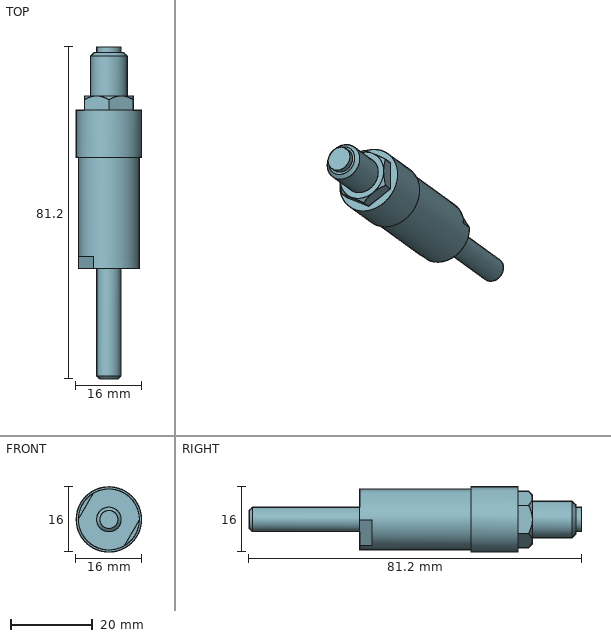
import cadquery as cq
import math


plunger_diameter = 6.0
barrel_diameter = 14.9
sleeve_diameter = 16.0
neck_diameter = 9.0
tip_diameter = 6.0

plunger_length = 27.0
collar_length = 3.0
barrel_length = 24.2
sleeve_length = 11.5
hex_length = 3.5
tip_length = 1.4
overall_length = 81.21

hex_sides = 6
hex_across_flats = 12.0
hex_across_corners = hex_across_flats / math.cos(math.pi / hex_sides)
hex_turn = 90.0
collar_across_flats = 13.0
collar_flat_turn = 30.0

plunger_chamfer = 0.8
neck_chamfer = 0.9
hex_chamfer = (hex_across_corners - hex_across_flats) / 2

collar_start = plunger_length
barrel_start = collar_start + collar_length
sleeve_start = barrel_start + barrel_length
hex_start = sleeve_start + sleeve_length
neck_start = hex_start + hex_length
tip_start = overall_length - tip_length
neck_length = tip_start - neck_start


def section_plane(y, turn=0.0):
    """Plane across the axis at the given Y, normal along +Y, turned about the axis in degrees."""
    plane = cq.Plane(origin=(0, y, 0), xDir=(-1, 0, 0), normal=(0, 1, 0))
    return cq.Workplane(plane).transformed(rotate=(0, 0, turn))


def cylinder(y, diameter, length):
    """Round section that starts at the given Y and runs towards +Y."""
    return section_plane(y).circle(diameter / 2).extrude(length)


def make_plunger():
    """Rod with a chamfered free end."""
    plunger = cylinder(0, plunger_diameter, plunger_length)
    return plunger.faces("<Y").chamfer(plunger_chamfer)


def make_collar():
    """Round collar, flush with the barrel, with two parallel wrench flats."""
    collar = cylinder(collar_start, barrel_diameter, collar_length)
    between_flats = (
        section_plane(collar_start, collar_flat_turn)
        .rect(collar_across_flats, barrel_diameter)
        .extrude(collar_length)
    )
    return collar.intersect(between_flats)


def make_hexagon():
    """Hexagon with its corners chamfered by a cone on the neck side."""
    hexagon = (
        section_plane(hex_start, hex_turn)
        .polygon(hex_sides, hex_across_corners)
        .extrude(hex_length)
    )
    blank = cylinder(hex_start, hex_across_corners, hex_length)
    return hexagon.intersect(blank.faces(">Y").chamfer(hex_chamfer))


def make_neck():
    """Neck with a chamfer around its tip side."""
    neck = cylinder(neck_start, neck_diameter, neck_length)
    return neck.faces(">Y").chamfer(neck_chamfer)


barrel = cylinder(barrel_start, barrel_diameter, barrel_length)
sleeve = cylinder(sleeve_start, sleeve_diameter, sleeve_length)
tip = cylinder(tip_start, tip_diameter, tip_length)

result = make_plunger()
for section in (make_collar(), barrel, sleeve, make_hexagon(), make_neck(), tip):
    result = result.union(section, clean=False)